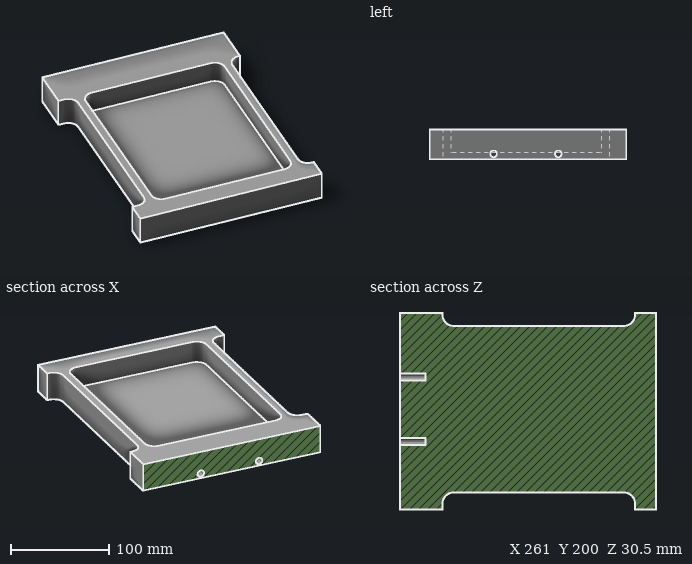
import cadquery as cq

length = 261.0
width = 200.0
height = 30.5

left_end = 43.5
right_end = 21.7
recess_length = length - left_end - right_end
recess_center_x = (left_end - right_end) / 2
back_recess_depth = 13.0
front_recess_depth = 17.2
body_center_y = (front_recess_depth - back_recess_depth) / 2
corner_radius = 11.0

wall = 8.3
pocket_width = width - back_recess_depth - front_recess_depth - 2 * wall
floor = 7.3

hole_diameter = 6.8
hole_depth = 26.0
hole_z = 5.5
hole_spacing = 65.7


def side_recess(side, depth):
    """Full-height recess in the +Y (side=1) or -Y (side=-1) face, rounded at its inner corners."""
    return (
        cq.Workplane("XY")
        .center(recess_center_x, side * width / 2)
        .rect(recess_length, 2 * depth)
        .extrude(height)
        .edges("|Z")
        .fillet(corner_radius)
    )


def pocket():
    return (
        cq.Workplane("XY", origin=(recess_center_x, body_center_y, floor))
        .rect(recess_length, pocket_width)
        .extrude(height - floor)
        .edges("|Z")
        .fillet(corner_radius)
    )


def end_holes():
    return (
        cq.Workplane("YZ", origin=(-length / 2, body_center_y, hole_z))
        .pushPoints([(-hole_spacing / 2, 0), (hole_spacing / 2, 0)])
        .circle(hole_diameter / 2)
        .extrude(hole_depth)
    )


result = cq.Workplane("XY").box(length, width, height, centered=(True, True, False))
result = result.cut(side_recess(1, back_recess_depth))
result = result.cut(side_recess(-1, front_recess_depth))
result = result.cut(pocket()).cut(end_holes())